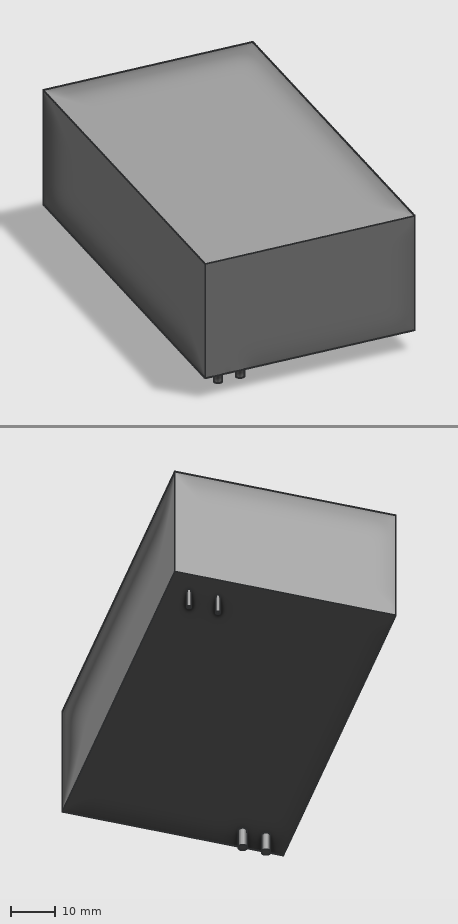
import cadquery as cq

housing_length = 87.0
housing_width = 52.0
total_height = 34.6
pin_length = 5.0
housing_height = total_height - pin_length

thin_pin_diameter = 1.0
thin_pin_x = -38.2
thin_pin_ys = (14.3, 21.05)

thick_pin_diameter = 2.0
thick_pin_x = 37.9
thick_pin_ys = (-20.3, -14.8)


def make_housing():
    """Plain rectangular block standing on Z = 0."""
    return cq.Workplane("XY").box(
        housing_length, housing_width, housing_height, centered=(True, True, False)
    )


def make_pin(diameter, x, y):
    """Round pin hanging down from the underside of the housing."""
    return cq.Workplane("XY").center(x, y).circle(diameter / 2).extrude(-pin_length)


housing = make_housing()
thin_pins = [make_pin(thin_pin_diameter, thin_pin_x, y) for y in thin_pin_ys]
thick_pins = [make_pin(thick_pin_diameter, thick_pin_x, y) for y in thick_pin_ys]

result = cq.Compound.makeCompound(
    [housing.val()] + [pin.val() for pin in thin_pins + thick_pins]
)